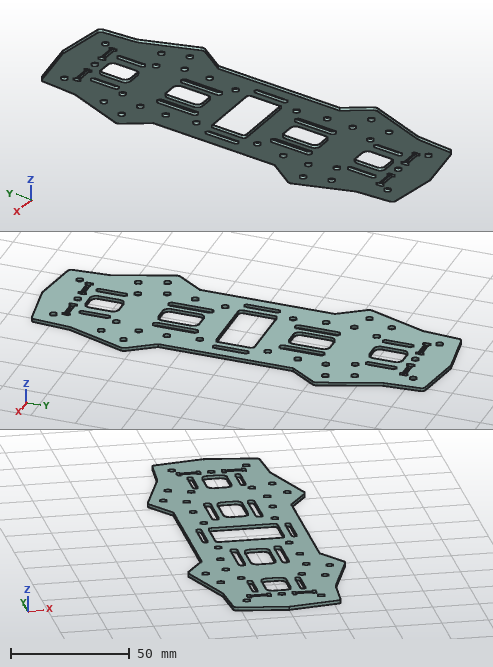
import cadquery as cq

length = 184.0
thickness = 1.5

end_tip = (0, length / 2)
end_corner = (23.0, 88.3)
end_shoulder = (24.3, 70.5)
arm_tip = (34.0, 43.0)
waist_corner = (25.4, 30.4)
end_corner_radius = 1.8
arm_tip_radius = 2.4

hole_diameter = 3.0
end_hole_y = 76.0
hole_centres = [
    (16.0, 81.0),
    (22.5, 57.0),
    (13.0, 53.7),
    (26.7, 45.5),
    (17.3, 42.1),
    (17.1, 29.5),
    (15.3, 15.3),
]

narrow_slot_width = 2.2
wide_slot_width = 3.0
outer_slot_centre = (10.3, 64.4)
outer_slot_length = 13.8
inner_slot_centre = (9.4, 28.5)
inner_slot_length = 20.2
waist_slot_x = 19.1
waist_slot_length = 16.2

window_width = 10.7
window_radius = 2.8
outer_window_y = 63.8
outer_window_height = 15.0
inner_window_y = 29.5
inner_window_height = 18.4
centre_window_width = 29.6
centre_window_height = 17.3
centre_window_radius = 1.5

bone_x = 9.8
bone_length = 10.1
bone_bar_height = 1.7
bone_head_width = 1.5
bone_head_height = 3.5


def mirrored(x, y):
    """Return the point and its distinct mirror images in the X and Y axes."""
    return sorted({(sx * x, sy * y) for sx in (1, -1) for sy in (1, -1)})


def box_cut(centres, width, height):
    return cq.Workplane("XY").pushPoints(centres).rect(width, height).extrude(thickness)


def window_cut(centres, width, height, radius):
    return box_cut(centres, width, height).edges("|Z").fillet(radius)


def slot_cut(centres, slot_length, width):
    """Round-ended slots running along Y."""
    return cq.Workplane("XY").pushPoints(centres).slot2D(slot_length, width, 90).extrude(thickness)


def vertical_edges_at(plate, centres):
    """Select the vertical edges that stand on the given points."""
    edges = plate.edges("|Z").vals()
    picked = [
        edge
        for edge in edges
        for x, y in centres
        if abs(edge.Center().x - x) < 0.02 and abs(edge.Center().y - y) < 0.02
    ]
    return plate.newObject(picked)


def make_blank():
    right_upper = [end_tip, end_corner, end_shoulder, arm_tip, waist_corner]
    right_side = right_upper + [(x, -y) for x, y in reversed(right_upper)]
    left_side = [(-x, y) for x, y in reversed(right_side[1:-1])]
    blank = cq.Workplane("XY").polyline(right_side + left_side).close().extrude(thickness)
    blank = vertical_edges_at(blank, mirrored(*end_corner)).fillet(end_corner_radius)
    return vertical_edges_at(blank, mirrored(*arm_tip)).fillet(arm_tip_radius)


def cut_holes(plate):
    centres = mirrored(0, end_hole_y)
    for x, y in hole_centres:
        centres += mirrored(x, y)
    return plate.cut(cq.Workplane("XY").pushPoints(centres).circle(hole_diameter / 2).extrude(thickness))


def cut_slots(plate):
    plate = plate.cut(slot_cut(mirrored(*outer_slot_centre), outer_slot_length, narrow_slot_width))
    plate = plate.cut(slot_cut(mirrored(*inner_slot_centre), inner_slot_length, wide_slot_width))
    return plate.cut(slot_cut(mirrored(waist_slot_x, 0), waist_slot_length, narrow_slot_width))


def cut_windows(plate):
    for y, height in ((outer_window_y, outer_window_height), (inner_window_y, inner_window_height)):
        plate = plate.cut(window_cut(mirrored(0, y), window_width, height, window_radius))
    centre = [(0, 0)]
    return plate.cut(window_cut(centre, centre_window_width, centre_window_height, centre_window_radius))


def cut_dog_bones(plate):
    head_spacing = bone_length - bone_head_width
    plate = plate.cut(box_cut(mirrored(bone_x, end_hole_y), head_spacing, bone_bar_height))
    for head_x in (bone_x - head_spacing / 2, bone_x + head_spacing / 2):
        plate = plate.cut(slot_cut(mirrored(head_x, end_hole_y), bone_head_height, bone_head_width))
    return plate


result = cut_dog_bones(cut_windows(cut_slots(cut_holes(make_blank()))))